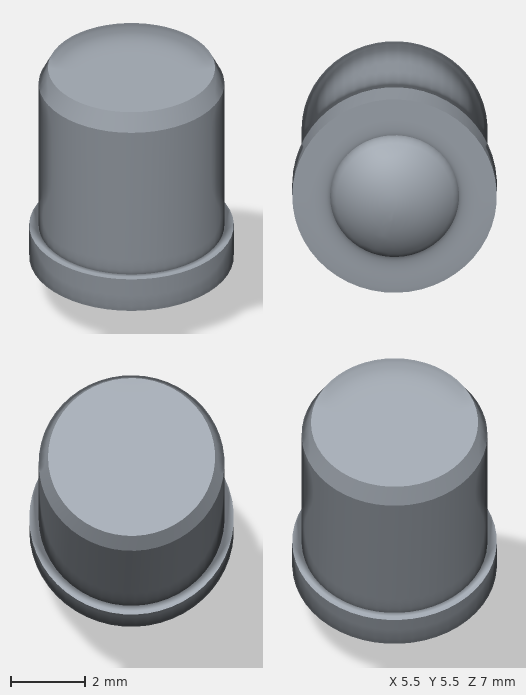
import cadquery as cq
import math

total_height = 7.0
flange_diameter = 5.5
flange_height = 1.0
body_diameter = 5.0
chamfer_width = 0.25
chamfer_height = 0.5
ball_radius = 2.0
ball_protrusion = 1.0

flange_radius = flange_diameter / 2
body_radius = body_diameter / 2
tip_radius = body_radius - chamfer_width
top_z = total_height - ball_protrusion
chamfer_start_z = top_z - chamfer_height

ball_center_z = ball_radius - ball_protrusion
cap_radius = math.sqrt(ball_radius**2 - ball_center_z**2)
half_cap_angle = math.acos(ball_center_z / ball_radius) / 2
cap_arc_middle = (
    ball_radius * math.sin(half_cap_angle),
    ball_center_z - ball_radius * math.cos(half_cap_angle),
)

profile = (
    cq.Workplane("XZ")
    .moveTo(0, -ball_protrusion)
    .threePointArc(cap_arc_middle, (cap_radius, 0))
    .lineTo(flange_radius, 0)
    .lineTo(flange_radius, flange_height)
    .lineTo(body_radius, flange_height)
    .lineTo(body_radius, chamfer_start_z)
    .lineTo(tip_radius, top_z)
    .lineTo(0, top_z)
    .close()
)

result = profile.revolve(360, (0, 0), (0, 1))